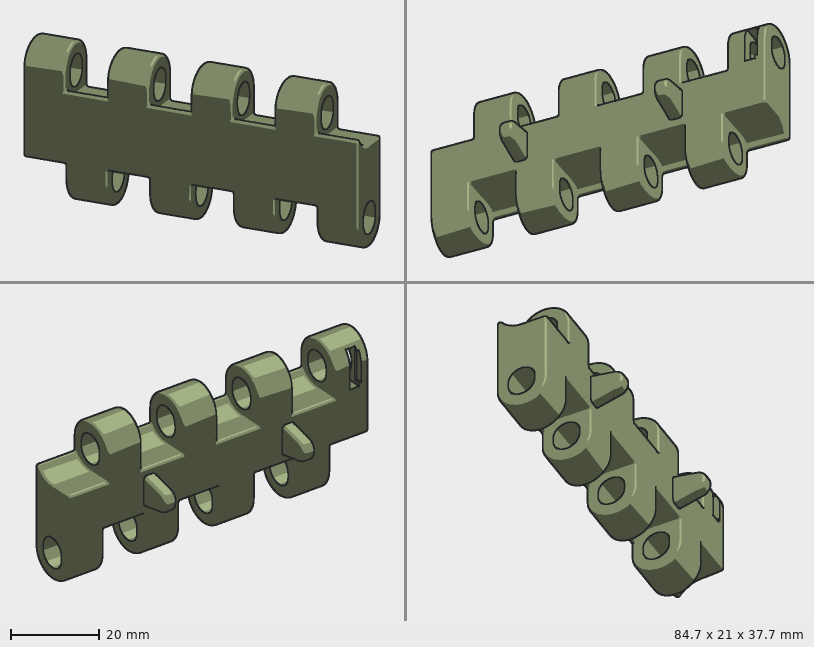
import cadquery as cq
import math

length = 84.7
thickness = 12.7
height = 37.7
knuckle_radius = thickness / 2
hinge_offset = height / 2 - knuckle_radius
front = -thickness / 2
back = thickness / 2

knuckle_count = 4
pitch = length / knuckle_count
knuckle_width = 10.5
pocket_width = pitch - knuckle_width
pocket_radius = 6.5

draft_slope = math.tan(math.radians(2.0))

edge_radius = 0.7
corner_radius = 0.6

slot_width = 6.7
slot_height = 7.8
slot_centre = hinge_offset - 0.7

lock_left = -length / 2 + 3.1
lock_width = 2.5
lock_height = 9.7
lock_step_width = 0.6
lock_step_height = 8.0
lock_depth = back
lock_step_depth = 1.7

peg_spacing = 38.8
peg_width = 3.5
peg_reach = 8.3
peg_tip_radius = 2.8
peg_taper = math.radians(12.0)
peg_edge_radius = 1.0
peg_embed = 2.0

clearance = 4.2


def make_drafted_block(x_min, x_max, growth):
    """Tall block whose sides spread by growth per unit of Y, with the x limits met just behind the front."""
    front_spread = -growth * edge_radius
    back_spread = growth * (thickness - edge_radius)
    block_height = height + 2 * clearance
    return (
        cq.Workplane("XY", origin=(0, 0, -block_height / 2))
        .moveTo(x_min - front_spread, front)
        .lineTo(x_max + front_spread, front)
        .lineTo(x_max + back_spread, back)
        .lineTo(x_min - back_spread, back)
        .close()
        .extrude(block_height)
    )


def make_long_slot(slot_length, width, z_centre):
    """Upright slot profile running through the full length along X."""
    return (
        cq.Workplane("YZ", origin=(-length / 2 - clearance, 0, z_centre))
        .slot2D(slot_length, width, 90)
        .extrude(length + 2 * clearance)
    )


def make_blank():
    stadium = make_long_slot(height, thickness, 0)
    return stadium.intersect(make_drafted_block(-length / 2, length / 2, -draft_slope))


def make_pocket_swing():
    """Long bar filling the space below the lower pocket floors: an arc in front, a flat behind."""
    floor = pocket_radius - hinge_offset
    bottom = -height / 2 - clearance
    return (
        cq.Workplane("YZ", origin=(-length, 0, 0))
        .moveTo(-pocket_radius, bottom)
        .lineTo(-pocket_radius, -hinge_offset)
        .radiusArc((0, floor), pocket_radius)
        .lineTo(back + clearance, floor)
        .lineTo(back + clearance, bottom)
        .close()
        .extrude(2 * length)
    )


def cut_lower_pockets(body):
    swing = make_pocket_swing()
    for index in range(knuckle_count):
        x_min = -length / 2 + index * pitch
        x_max = x_min + pocket_width
        if index == 0:
            x_min -= clearance
        body = body.cut(swing.intersect(make_drafted_block(x_min, x_max, draft_slope)))
    return body


def is_seam(edge):
    """True for lines along X where a flat runs smoothly into an arc."""
    tolerance = edge_radius / 10
    box = edge.BoundingBox()
    runs_along_x = box.ylen < tolerance and box.zlen < tolerance
    height_from_middle = abs(edge.Center().z)
    at_hinge = abs(height_from_middle - hinge_offset) < tolerance
    at_middle = abs(edge.Center().y) < tolerance
    return runs_along_x and (at_hinge or at_middle)


def is_inside_corner(edge):
    """True for edges along Y where a lower knuckle side meets a pocket floor."""
    box = edge.BoundingBox()
    runs_along_y = box.ylen > knuckle_radius / 2
    on_floor = -hinge_offset < box.zmin and box.zmax < 0
    on_end = abs(edge.Center().x) > length / 2 - knuckle_width / 2
    return runs_along_y and on_floor and not on_end


def round_edges(body):
    """Round the outside edges first, so the inside corners stay sharp on the front face."""
    outside = [edge for edge in body.edges().vals() if not is_seam(edge) and not is_inside_corner(edge)]
    body = body.newObject(outside).fillet(edge_radius)

    corners = [edge for edge in body.edges().vals() if is_inside_corner(edge) and edge.geomType() == "LINE"]
    for middle in [corner.Center() for corner in corners]:
        corner = body.edges(cq.selectors.NearestToPointSelector(middle.toTuple()))
        body = corner.fillet(corner_radius)
    return body


def make_half():
    """Lower half of the link, up to the middle plane."""
    body = round_edges(cut_lower_pockets(make_blank()))
    upper_side = cq.Workplane("XY").box(2 * length, 2 * thickness, height, centered=(True, True, False))
    return body.cut(upper_side)


def make_back_recess(x_min, width, recess_height, depth):
    """Box-shaped cutting tool centred on the upper pin slot and entering from the back."""
    return cq.Workplane("XY", origin=(x_min, back - depth, slot_centre)).box(
        width, depth + clearance, recess_height, centered=(False, False, True)
    )


def make_lock_recess():
    step_left = lock_left - lock_step_width
    step = make_back_recess(step_left, lock_step_width, lock_step_height, lock_step_depth)
    return step.union(make_back_recess(lock_left, lock_width, lock_height, lock_depth))


def make_peg(x_centre):
    """Tapered peg with a round tip, rounded along both sides."""
    tip = back + peg_reach
    tangent_y = tip - peg_tip_radius + peg_tip_radius * math.sin(peg_taper)
    tangent_z = peg_tip_radius * math.cos(peg_taper)
    root_y = back - peg_embed
    root_z = tangent_z + (tangent_y - root_y) * math.tan(peg_taper)
    peg = (
        cq.Workplane("YZ", origin=(x_centre - peg_width / 2, 0, 0))
        .moveTo(root_y, -root_z)
        .lineTo(tangent_y, -tangent_z)
        .threePointArc((tip, 0), (tangent_y, tangent_z))
        .lineTo(root_y, root_z)
        .close()
        .extrude(peg_width)
    )
    return peg.faces("<X or >X").edges("not <Y").fillet(peg_edge_radius)


half = make_half()
result = half.union(half.rotate((0, 0, 0), (0, 1, 0), 180)).clean()

result = result.cut(make_lock_recess())
for side in (-1, 1):
    result = result.cut(make_long_slot(slot_height, slot_width, side * slot_centre))
    result = result.union(make_peg(side * peg_spacing / 2))